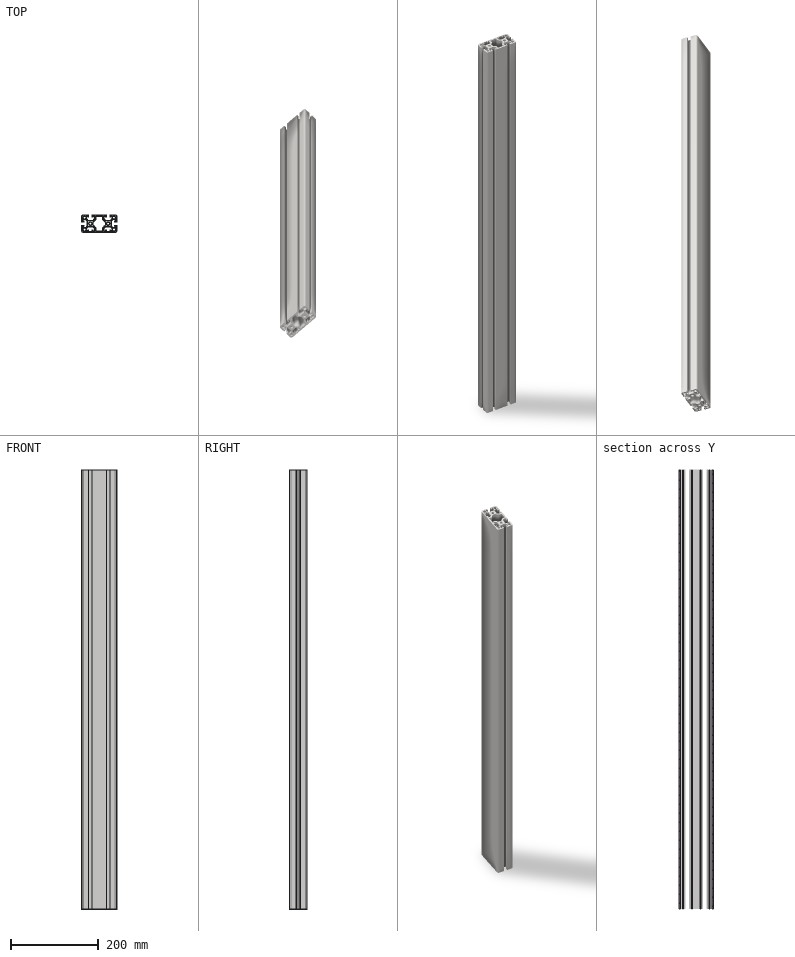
import cadquery as cq

WIDTH = 80.0
DEPTH = 40.0
LENGTH = 1000.0
CORNER_RADIUS = 4.0

MODULE = WIDTH / 2
CORE_X = MODULE / 2
FACE_DISTANCE = MODULE / 2
CORE_HALF_WIDTH = 7.5
BORE_DIAMETER = 6.8

CORNER_HOLLOW_DIAMETER = 6.8
CORNER_HOLLOW_INSET = 6.5

MOUTH_HALF_WIDTH = 4.0
NOSE_WIDTH = 1.5
LIP_ROOT_HALF_WIDTH = 7.0
CHAMBER_HALF_WIDTH = 9.0
FLOOR_HALF_WIDTH = 7.0

NOSE_DEPTH = 5.5
LIP_ROOT_DEPTH = 2.5
SHOULDER_DEPTH = 9.5
FLOOR_TAPER_DEPTH = 11.0
FLOOR_DEPTH = FACE_DISTANCE - CORE_HALF_WIDTH
COVER_THICKNESS = 1.8

HOLLOW_WALL = 3.5
HOLLOW_HALF_WIDTH = 7.5
WAIST_HALF_WIDTH = 14.0
WAIST_HALF_HEIGHT = 3.0


def mirrored_prism(right_side):
    """Full-length prism whose outline is the given right side and its mirror image in X."""
    left_side = [(-x, y) for x, y in reversed(right_side)]
    return cq.Workplane("XY").polyline(right_side + left_side).close().extrude(LENGTH)


def slot(mouth_depth):
    """T-slot facing +Y around a core at the origin, with its mouth starting at mouth_depth.

    The lips hook inward: each nose reaches deeper than the root of its lip.
    """
    half_widths_and_depths = [
        (MOUTH_HALF_WIDTH, mouth_depth),
        (MOUTH_HALF_WIDTH, NOSE_DEPTH),
        (MOUTH_HALF_WIDTH + NOSE_WIDTH, NOSE_DEPTH),
        (LIP_ROOT_HALF_WIDTH, LIP_ROOT_DEPTH),
        (CHAMBER_HALF_WIDTH, LIP_ROOT_DEPTH),
        (CHAMBER_HALF_WIDTH, SHOULDER_DEPTH),
        (FLOOR_HALF_WIDTH, FLOOR_TAPER_DEPTH),
        (FLOOR_HALF_WIDTH, FLOOR_DEPTH),
    ]
    return mirrored_prism([(x, FACE_DISTANCE - depth) for x, depth in half_widths_and_depths])


def module_cutters(side):
    """Bore and three slots of the module on the given side (-1 left, 1 right)."""
    bore = cq.Workplane("XY").circle(BORE_DIAMETER / 2).extrude(LENGTH)
    back_slot = slot(0)
    end_slot = slot(0).rotate((0, 0, 0), (0, 0, 1), -90 * side)
    covered_front_slot = slot(COVER_THICKNESS).rotate((0, 0, 0), (0, 0, 1), 180)
    cutters = (bore, back_slot, end_slot, covered_front_slot)
    return [cutter.translate((side * CORE_X, 0, 0)) for cutter in cutters]


def middle_hollow():
    top = DEPTH / 2 - HOLLOW_WALL
    flank_end = WAIST_HALF_HEIGHT + WAIST_HALF_WIDTH - HOLLOW_HALF_WIDTH
    upper = [
        (HOLLOW_HALF_WIDTH, top),
        (HOLLOW_HALF_WIDTH, flank_end),
        (WAIST_HALF_WIDTH, WAIST_HALF_HEIGHT),
    ]
    lower = [(x, -y) for x, y in reversed(upper)]
    return mirrored_prism(upper + lower)


def corner_hollows():
    return (
        cq.Workplane("XY")
        .rect(WIDTH - 2 * CORNER_HOLLOW_INSET, DEPTH - 2 * CORNER_HOLLOW_INSET, forConstruction=True)
        .vertices()
        .circle(CORNER_HOLLOW_DIAMETER / 2)
        .extrude(LENGTH)
    )


blank = cq.Workplane("XY").rect(WIDTH, DEPTH).extrude(LENGTH).edges("|Z").fillet(CORNER_RADIUS)
result = blank.cut(middle_hollow()).cut(corner_hollows())
for side in (-1, 1):
    for cutter in module_cutters(side):
        result = result.cut(cutter)